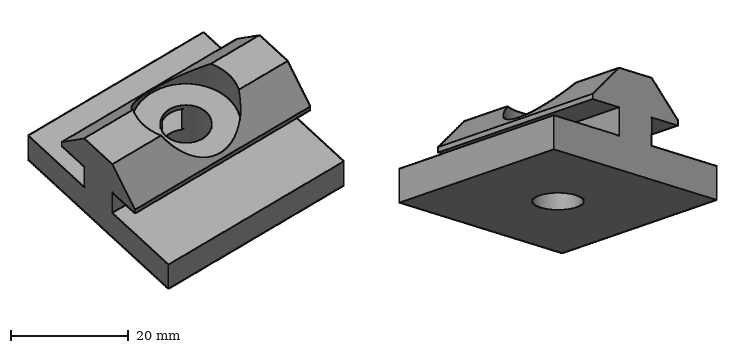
import cadquery as cq

plate_side = 38.1
plate_thickness = 6.1

total_height = 18.29
neck_width = 7.62
neck_height = 5.08
head_width = 19.94
bevel = (head_width - neck_width) / 2

hole_diameter = 8.75
counterbore_diameter = 18.54
counterbore_depth = 6.1

head_bottom = plate_thickness + neck_height
flank_bottom = total_height - bevel


def make_plate():
    return cq.Workplane("XY").box(plate_side, plate_side, plate_thickness, centered=(True, True, False))


def make_rail():
    half_neck = neck_width / 2
    half_head = head_width / 2
    right_side = [
        (half_neck, plate_thickness),
        (half_neck, head_bottom),
        (half_head, head_bottom),
        (half_head, flank_bottom),
        (half_neck, total_height),
    ]
    left_side = [(-x, z) for x, z in reversed(right_side)]
    profile = cq.Workplane("XZ").polyline(right_side + left_side).close()
    return profile.extrude(plate_side / 2, both=True)


def make_screw_hole():
    through_hole = cq.Workplane("XY").circle(hole_diameter / 2).extrude(total_height)
    counterbore = (
        cq.Workplane("XY")
        .workplane(offset=total_height - counterbore_depth)
        .circle(counterbore_diameter / 2)
        .extrude(counterbore_depth)
    )
    return through_hole.union(counterbore)


result = make_plate().union(make_rail()).cut(make_screw_hole())